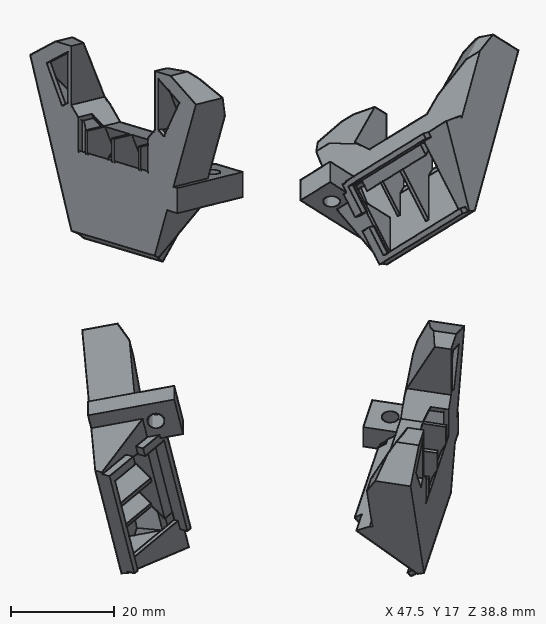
import cadquery as cq
import math


width = 47.5
height = 38.8
shoulder_z = 34.6
shoulder_half = 16.5
arm_inner = 11.95
ramp_top_z = 27.05
seat_half = 7.8
seat_z = 22.8
base_half = 11.7
base_z = 1.2

body_depth = 9.0
front_base_z = 1.9
base_y = 1.3
heel_y = 12.35
heel_z = 14.4
shelf_y = 9.5
shelf_z = 16.75

bevel_z = 30.3
bevel_rate = math.tan(math.radians(25))
twist_x = 18.55
twist_rate = bevel_rate * math.tan(math.radians(30))

wall = 1.0
side_wall = 1.8
chamber_floor_z = 11.75
roof_drop = 0.95
bevel_wall = 2.6
ceiling_tilt = 40.0
ceiling_y = 1.35

window_corner_x = 19.0
window_corner_z = 33.95
window_length = 8.85
window_width = 7.9
window_turn = 30.0

well_half = 9.98
well_sill_z = 18.4
well_y = 4.55

side_rib_x = 7.65
side_rib_width = 0.6
side_rib_foot_z = 9.75
middle_rib_width = 0.75
middle_rib_foot_z = 4.3

rail_height = 1.85
rail_left = -11.6
lower_rail_left = -11.3
rail_right = 11.25
stop_left = 9.45
stop_start = 0.2
rail_width = 1.1
upper_stop_end = 6.95
lower_stop_start = 9.98
mouth_half = 9.65

lug_left = 10.45
lug_width = 8.05
lug_depth = 17.0
lug_bottom_z = 11.75
lug_hole_d = 3.3
lug_hole_x = lug_left + lug_width / 2
lug_hole_y = 12.55

half = width / 2
cut_reach = 4 * width
side_lean = (half - base_half) / (shoulder_z - base_z)
base_length = math.hypot(heel_y - base_y, heel_z - base_z)
mouth_end = base_length - rail_width
base_slope = (heel_z - base_z) / (heel_y - base_y)


def extrude_y(points, y_start, y_end):
    """Prism along Y over (x, z) points."""
    plane = cq.Plane(origin=(0, y_start, 0), xDir=(1, 0, 0), normal=(0, -1, 0))
    return cq.Workplane(plane).polyline(points).close().extrude(y_start - y_end)


def extrude_x(points, x_start, x_end):
    """Prism along X over (y, z) points."""
    return cq.Workplane("YZ", origin=(x_start, 0, 0)).polyline(points).close().extrude(x_end - x_start)


def on_base(x_start, x_end, along_start, along_end, low, high):
    """Box on the sloped base face, measured down the slope from the heel and outwards from it."""
    down_y = (base_y - heel_y) / base_length
    down_z = (base_z - heel_z) / base_length
    corners = [(along_start, low), (along_end, low), (along_end, high), (along_start, high)]
    points = [(heel_y + a * down_y - n * down_z, heel_z + a * down_z + n * down_y) for a, n in corners]
    return extrude_x(points, x_start, x_end)


def both_sides(solid):
    """The right-hand solid together with its mirror image."""
    return solid.union(solid.mirror("YZ"))


def behind_plane(point, normal):
    """Large block filling the side of a plane that its normal points to."""
    return cq.Workplane(cq.Plane(origin=point, normal=normal)).rect(cut_reach, cut_reach).extrude(cut_reach)


def inner_bevel(y_shift):
    """Space behind the twisted bevel of the right arm, moved forward by y_shift."""
    space = behind_plane((twist_x, body_depth - y_shift, bevel_z), (-twist_rate, 1, bevel_rate))
    arm_side = cq.Workplane().box(width, width, height, centered=False).translate((seat_half, 0, 0))
    return space.intersect(arm_side)


side_profile = [
    (0, front_base_z),
    (base_y, base_z),
    (heel_y, heel_z),
    (shelf_y, shelf_z),
    (body_depth, shelf_z),
    (body_depth, bevel_z),
    (body_depth - bevel_rate * (height - bevel_z), height),
    (0, height),
]


def shell_block():
    """Outer shape of the shell, still solid."""
    right_outline = [
        (0, seat_z),
        (seat_half, seat_z),
        (arm_inner, ramp_top_z),
        (arm_inner, height),
        (shoulder_half, height),
        (half, shoulder_z),
        (half - side_lean * shoulder_z, 0),
        (0, 0),
    ]
    block = extrude_y(right_outline, 0, heel_y)
    block = block.intersect(extrude_x(side_profile, 0, half))
    return both_sides(block.cut(inner_bevel(0)))


def chamber():
    """Hollow space that leaves the shell walls, with a tilted ceiling in each arm."""
    chamber_inner = side_rib_x + side_rib_width / 2
    roof_rate = (ramp_top_z - seat_z) / (arm_inner - seat_half)
    arm_wall_x = arm_inner + wall
    roof_outer_z = ramp_top_z - roof_drop + roof_rate * wall
    roof_inner_z = seat_z - roof_drop + roof_rate * (chamber_inner - seat_half)
    outer_top_x = half - side_wall + side_lean * (height - shoulder_z)
    outer_floor_x = half - side_wall - side_lean * (shoulder_z - chamber_floor_z)
    right_outline = [
        (0, roof_inner_z),
        (chamber_inner, roof_inner_z),
        (arm_wall_x, roof_outer_z),
        (arm_wall_x, height),
        (outer_top_x, height),
        (outer_floor_x, chamber_floor_z),
        (well_half, chamber_floor_z),
        (well_half, 0),
        (0, 0),
    ]
    front_shape = extrude_y(right_outline, 0, heel_y)
    profile = cq.Workplane("YZ").polyline(side_profile).close().offset2D(-wall, "intersection")
    inside = front_shape.intersect(profile.extrude(half))
    inside = inside.cut(inner_bevel(bevel_wall))
    inside = inside.cut(on_base(0, half, mouth_end, cut_reach, -cut_reach, 0))
    turn = math.radians(window_turn)
    tilt = math.radians(ceiling_tilt)
    ceiling_normal = (
        math.sin(tilt) * math.sin(turn),
        math.cos(tilt),
        math.sin(tilt) * math.cos(turn),
    )
    ceiling = behind_plane((window_corner_x, ceiling_y, window_corner_z), ceiling_normal)
    arm_space = cq.Workplane().box(width, width, height, centered=False).translate((arm_wall_x, 0, seat_z))
    inside = inside.cut(ceiling.intersect(arm_space))
    seat_block = behind_plane((0, well_y, seat_z), (0, 1, bevel_rate))
    seat_limit = cq.Workplane().box(2 * chamber_inner, cut_reach, cut_reach)
    return both_sides(inside.cut(seat_block.intersect(seat_limit)))


def well():
    """Opening from the seat and the front into the hollow, with an undercut rear wall."""
    rear_y = well_y + bevel_rate * (seat_z - well_sill_z) + wall
    top_y = well_y - bevel_rate * (ramp_top_z - seat_z)
    points = [
        (0, well_sill_z),
        (wall, well_sill_z - wall / bevel_rate),
        (rear_y, well_sill_z - wall / bevel_rate),
        (top_y, ramp_top_z),
        (0, ramp_top_z),
    ]
    return extrude_x(points, -well_half, well_half)


def arm_windows():
    """Turned rectangles through the front wall, stopped by the inner walls of the arms."""
    window = (
        cq.Workplane("XY")
        .box(window_width, wall, window_length, centered=False)
        .translate((-window_width, 0, -window_length))
        .rotate((0, 0, 0), (0, 1, 0), window_turn)
        .translate((window_corner_x, 0, window_corner_z))
    )
    limit = cq.Workplane().box(half, wall, height, centered=False).translate((arm_inner + wall, 0, 0))
    return both_sides(window.intersect(limit))


def rib(x, thickness, foot_z):
    """Upright plate from the front face to the rear wall of the well."""
    meet_y = (seat_z - foot_z + well_y / bevel_rate) / (base_slope + 1 / bevel_rate)
    meet_z = foot_z + base_slope * meet_y
    points = [(0, foot_z), (meet_y, meet_z), (well_y, seat_z), (0, seat_z)]
    return extrude_x(points, x - thickness / 2, x + thickness / 2)


def rails():
    """Two rails across the base and two end stops that close them on the right."""
    pieces = on_base(rail_left, stop_left, 0, rail_width, 0, rail_height)
    pieces = pieces.union(on_base(lower_rail_left, rail_right, mouth_end, base_length, 0, rail_height))
    pieces = pieces.union(on_base(stop_left, rail_right, stop_start, upper_stop_end, 0, rail_height))
    return pieces.union(on_base(stop_left, rail_right, lower_stop_start, base_length, 0, rail_height))


def lug():
    """Block passing through the shell and standing out behind it."""
    block = cq.Workplane().box(lug_width, lug_depth, shelf_z - lug_bottom_z, centered=False)
    return block.translate((lug_left, 0, lug_bottom_z))


def lug_hole():
    """Upright hole through the lug and the rear edge of the shell."""
    return cq.Workplane().center(lug_hole_x, lug_hole_y).circle(lug_hole_d / 2).extrude(height)


mouth = on_base(-mouth_half, mouth_half, rail_width, mouth_end, -wall, rail_height)

result = shell_block().union(lug()).cut(chamber()).cut(well()).cut(arm_windows()).cut(mouth)
for rib_x in (-side_rib_x, side_rib_x):
    result = result.union(rib(rib_x, side_rib_width, side_rib_foot_z))
result = result.union(rib(0, middle_rib_width, middle_rib_foot_z))
result = result.union(rails()).cut(lug_hole())